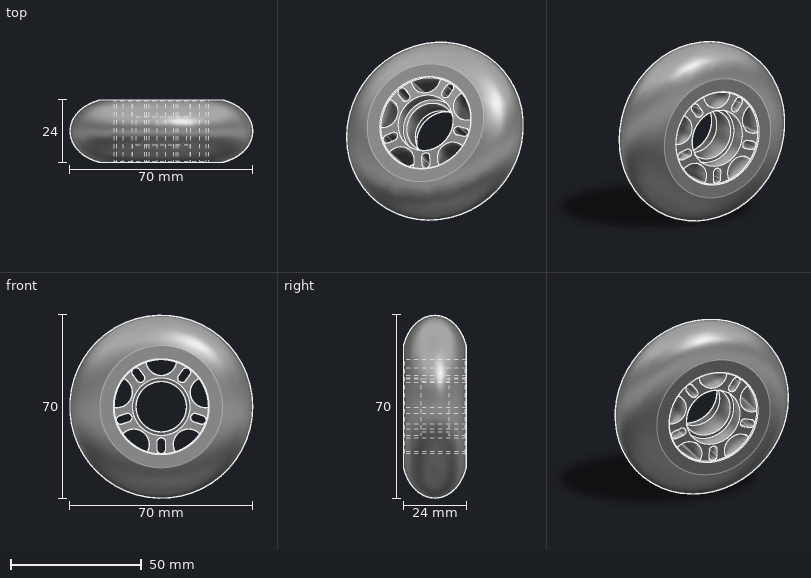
import cadquery as cq
import math

wheel_radius = 35.0
wheel_width = 24.0
half_width = wheel_width / 2

side_radius = 23.4
tread_radial_axis = 16.8
tread_spans = 8

rim_radius = 18.35
window_outer_radius = 18.0
rim_recess_depth = 0.5
hub_recess_depth = 0.15
bearing_radius = 11.0
bearing_depth = 6.5
bore_radius = 9.6

spoke_count = 5
window_radius = 5.8
window_center_radius = 17.8
window_corner_radius = 0.35
slot_width = 3.2
slot_inner_radius = 11.9
slot_outer_radius = 17.9


def tread_points():
    """Points along the elliptical tread section, from one side ring to the other."""
    center_radius = wheel_radius - tread_radial_axis
    edge_angle = math.acos((side_radius - center_radius) / tread_radial_axis)
    axial_axis = half_width / math.sin(edge_angle)
    points = []
    for i in range(tread_spans + 1):
        angle = edge_angle * (2 * i / tread_spans - 1)
        radius = center_radius + tread_radial_axis * math.cos(angle)
        points.append((radius, axial_axis * math.sin(angle)))
    return points


def make_tyre_and_hub():
    """Solid of revolution with shallow conical side recesses and stepped bearing seats."""
    tread = tread_points()
    rim_y = half_width - rim_recess_depth
    hub_y = half_width - hub_recess_depth
    seat_y = hub_y - bearing_depth
    return (
        cq.Workplane("XY")
        .moveTo(rim_radius, -half_width)
        .lineTo(*tread[0])
        .spline(tread[1:], includeCurrent=True)
        .lineTo(rim_radius, half_width)
        .lineTo(window_outer_radius, rim_y)
        .lineTo(bearing_radius, hub_y)
        .lineTo(bearing_radius, seat_y)
        .lineTo(bore_radius, seat_y)
        .lineTo(bore_radius, -seat_y)
        .lineTo(bearing_radius, -seat_y)
        .lineTo(bearing_radius, -hub_y)
        .lineTo(window_outer_radius, -rim_y)
        .close()
        .revolve(360, (0, 0, 0), (0, 1, 0))
    )


def make_window():
    """Round window at the top of the hub, clipped by the rim, with softened corners."""
    blank = (
        cq.Workplane("XZ")
        .center(0, window_center_radius)
        .circle(window_radius)
        .extrude(half_width, both=True)
    )
    rim = cq.Workplane("XZ").circle(window_outer_radius).extrude(half_width, both=True)
    return blank.intersect(rim).edges("|Y").fillet(window_corner_radius)


def make_slot():
    """Radial slot through the spoke at the bottom of the hub."""
    return (
        cq.Workplane("XZ")
        .center(0, -(slot_inner_radius + slot_outer_radius) / 2)
        .slot2D(slot_outer_radius - slot_inner_radius, slot_width, 90)
        .extrude(half_width, both=True)
    )


result = make_tyre_and_hub()
window = make_window()
slot = make_slot()
for i in range(spoke_count):
    angle = i * 360 / spoke_count
    result = result.cut(window.rotate((0, 0, 0), (0, 1, 0), angle))
    result = result.cut(slot.rotate((0, 0, 0), (0, 1, 0), angle))